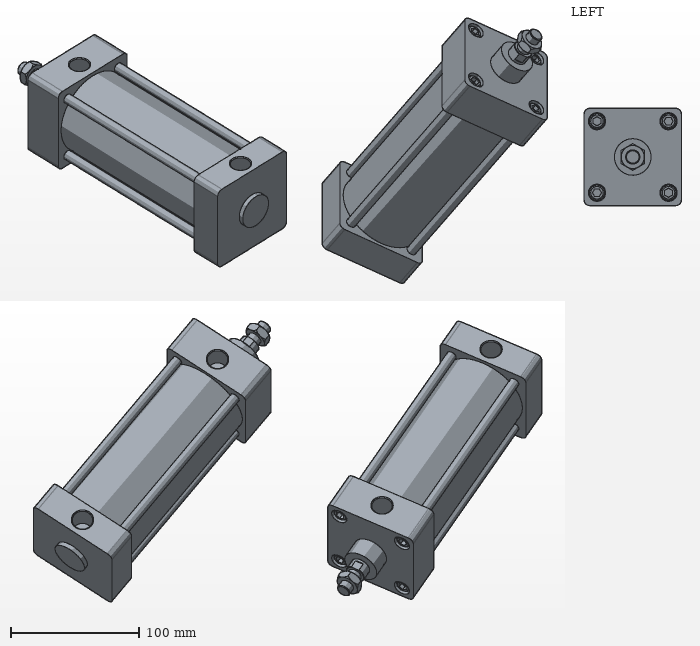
import cadquery as cq
import math

LENGTH = 257.2
CAP_SIZE = 76.0
CAP_CORNER_RADIUS = 4.6

FRONT_CAP_LENGTH = 33.5
REAR_CAP_LENGTH = 26.0
FRONT_BOSS_LENGTH = 16.0
REAR_BOSS_LENGTH = 3.9
BOSS_DIAMETER = 28.5
PORT_DIAMETER = 16.0
PORT_RIM_DIAMETER = 17.5
PORT_DEPTH = 20.5
FRONT_PORT_SETBACK = 18.8
REAR_PORT_SETBACK = 12.9

BARREL_DIAMETER = 70.0

ROD_DIAMETER = 16.0
ROD_CHAMFER = 0.39
ROD_PROTRUSION = 9.3
THREAD_DIAMETER = 11.0
THREAD_LENGTH = 19.0
THREAD_CHAMFER = 0.65
FLATS_WIDTH = 14.5
FLATS_LENGTH = 7.0

NUT_WIDTH = 18.0
NUT_THICKNESS = 7.0
NUT_SETBACK = 6.5
NUT_BEVEL_ANGLE = 45.0

TIE_ROD_SPACING = 55.8
TIE_ROD_DIAMETER = 8.0
HEAD_DIAMETER = 11.8
HEAD_CHAMFER = 1.0
HEAD_LENGTH = 7.7
HEAD_RECESS = 1.3
COUNTERBORE_DIAMETER = 13.5
SOCKET_WIDTH = 6.2
SOCKET_DEPTH = 3.9
TIE_ROD_REAR_DEPTH = 12.9

FLATS_UP = 0
CORNERS_UP = 90

X_TIP = 0.0
X_SHOULDER = X_TIP + THREAD_LENGTH
X_BOSS = X_SHOULDER + ROD_PROTRUSION
X_FRONT_CAP = X_BOSS + FRONT_BOSS_LENGTH
X_BARREL = X_FRONT_CAP + FRONT_CAP_LENGTH
X_REAR_FACE = LENGTH - REAR_BOSS_LENGTH
X_REAR_CAP = X_REAR_FACE - REAR_CAP_LENGTH
X_HEAD = X_FRONT_CAP + HEAD_RECESS
X_HEAD_SEAT = X_HEAD + HEAD_LENGTH
X_TIE_ROD_END = X_REAR_CAP + TIE_ROD_REAR_DEPTH

TIE_ROD_PLACES = [
    (side_y * TIE_ROD_SPACING / 2, side_z * TIE_ROD_SPACING / 2) for side_y in (-1, 1) for side_z in (-1, 1)
]


def cylinder(x_start, x_end, diameter, y=0.0, z=0.0):
    """Round bar along X."""
    return cq.Workplane("YZ", origin=(x_start, y, z)).circle(diameter / 2).extrude(x_end - x_start)


def hexagon(x_start, x_end, width, y, z, turn):
    """Hexagonal bar along X, with a corner toward +Y before it is turned. The width is across flats."""
    corner_diameter = 2 * width / math.sqrt(3)
    bar = cq.Workplane("YZ", origin=(x_start, y, z)).polygon(6, corner_diameter).extrude(x_end - x_start)
    return bar.rotate((0, y, z), (1, y, z), turn)


def cap_block(x_start, length):
    """Square cap with its long edges rounded."""
    block = cq.Workplane("YZ", origin=(x_start, 0, 0)).rect(CAP_SIZE, CAP_SIZE).extrude(length)
    return block.edges("|X").fillet(CAP_CORNER_RADIUS)


def port(x_center):
    """Blind air port in the top face, with a 45 degree chamfer at its rim."""
    rim_depth = (PORT_RIM_DIAMETER - PORT_DIAMETER) / 2
    top = CAP_SIZE / 2
    profile = [
        (0, top),
        (PORT_RIM_DIAMETER / 2, top),
        (PORT_DIAMETER / 2, top - rim_depth),
        (PORT_DIAMETER / 2, top - PORT_DEPTH),
        (0, top - PORT_DEPTH),
    ]
    return cq.Workplane("XZ").polyline(profile).close().revolve(360, (0, 0), (0, 1)).translate((x_center, 0, 0))


def make_front_cap():
    cap = cap_block(X_FRONT_CAP, FRONT_CAP_LENGTH)
    cap = cap.union(cylinder(X_BOSS, X_FRONT_CAP, BOSS_DIAMETER))
    cap = cap.cut(cylinder(X_BOSS, X_BARREL, ROD_DIAMETER))
    cap = cap.cut(port(X_FRONT_CAP + FRONT_PORT_SETBACK))
    for y, z in TIE_ROD_PLACES:
        cap = cap.cut(cylinder(X_FRONT_CAP, X_HEAD_SEAT, COUNTERBORE_DIAMETER, y, z))
        cap = cap.cut(cylinder(X_HEAD_SEAT, X_BARREL, TIE_ROD_DIAMETER, y, z))
    return cap


def make_rear_cap():
    cap = cap_block(X_REAR_CAP, REAR_CAP_LENGTH)
    cap = cap.union(cylinder(X_REAR_FACE, LENGTH, BOSS_DIAMETER))
    cap = cap.cut(port(X_REAR_FACE - REAR_PORT_SETBACK))
    for y, z in TIE_ROD_PLACES:
        cap = cap.cut(cylinder(X_REAR_CAP, X_TIE_ROD_END, TIE_ROD_DIAMETER, y, z))
    return cap


def make_barrel():
    return cylinder(X_BARREL, X_REAR_CAP, BARREL_DIAMETER)


def make_piston_rod():
    """Rod with a threaded tip and two wrench flats behind its shoulder."""
    tip = cylinder(X_TIP, X_SHOULDER, THREAD_DIAMETER).faces("<X").chamfer(THREAD_CHAMFER)
    shank = cylinder(X_SHOULDER, X_BARREL, ROD_DIAMETER).faces("<X").chamfer(ROD_CHAMFER)
    for side in (-1, 1):
        slab = cq.Workplane("XY").box(FLATS_LENGTH, ROD_DIAMETER, ROD_DIAMETER, centered=(False, True, True))
        shank = shank.cut(slab.translate((X_SHOULDER, 0, side * (FLATS_WIDTH + ROD_DIAMETER) / 2)))
    return tip.union(shank)


def make_nut():
    """Hexagonal nut with corners toward +Z and -Z, beveled on both faces down to its width."""
    x_start = X_TIP + NUT_SETBACK
    x_end = x_start + NUT_THICKNESS
    corner_radius = NUT_WIDTH / math.sqrt(3)
    bevel = (corner_radius - NUT_WIDTH / 2) * math.tan(math.radians(NUT_BEVEL_ANGLE))
    body = hexagon(x_start, x_end, NUT_WIDTH, 0, 0, CORNERS_UP)
    envelope = (
        cq.Workplane("XY")
        .moveTo(x_start, 0)
        .lineTo(x_start, NUT_WIDTH / 2)
        .lineTo(x_start + bevel, corner_radius)
        .lineTo(x_end - bevel, corner_radius)
        .lineTo(x_end, NUT_WIDTH / 2)
        .lineTo(x_end, 0)
        .close()
        .revolve(360, (0, 0), (1, 0))
    )
    return body.intersect(envelope).cut(cylinder(x_start, x_end, THREAD_DIAMETER))


def make_tie_rod(y, z):
    """Socket-head rod; the sockets of one diagonal pair have corners up, those of the other have flats up."""
    head = cylinder(X_HEAD, X_HEAD_SEAT, HEAD_DIAMETER, y, z).faces("<X").chamfer(HEAD_CHAMFER)
    shank = cylinder(X_HEAD_SEAT, X_TIE_ROD_END, TIE_ROD_DIAMETER, y, z)
    turn = CORNERS_UP if y * z > 0 else FLATS_UP
    socket = hexagon(X_HEAD, X_HEAD + SOCKET_DEPTH, SOCKET_WIDTH, y, z, turn)
    return head.union(shank).cut(socket)


front_cap = make_front_cap()
rear_cap = make_rear_cap()
barrel = make_barrel()
piston_rod = make_piston_rod()
nut = make_nut()
tie_rods = [make_tie_rod(y, z) for y, z in TIE_ROD_PLACES]

result = cq.Compound.makeCompound(
    [front_cap.val(), rear_cap.val(), barrel.val(), piston_rod.val(), nut.val()]
    + [tie_rod.val() for tie_rod in tie_rods]
)